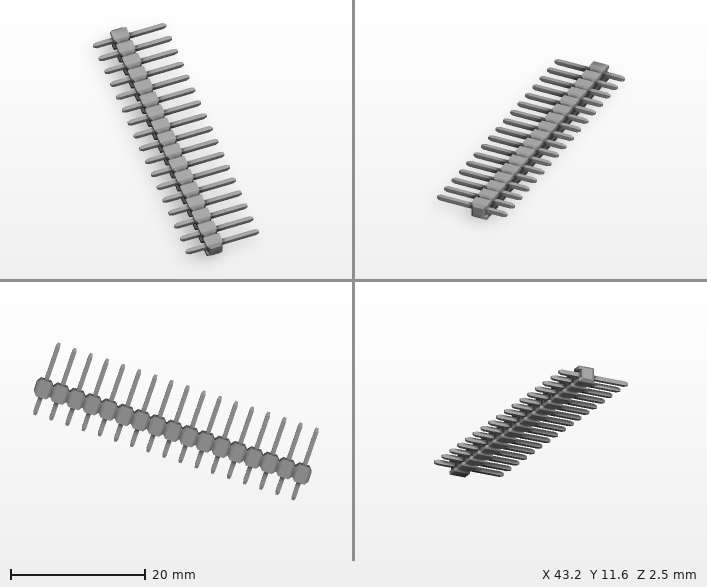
import cadquery as cq

row_length = 43.2
pin_count = 17
pitch = row_length / pin_count

body_depth = 2.55
body_height = 2.5
bevel_x = 0.47
bevel_y = 0.5
bevel_z = 0.45
channel_height = 1.4
channel_depth = 0.35

pin_width = 0.65
tip_width = 0.4
tip_length = 0.5
front_reach = 3.0
rear_reach = 6.0


def bevelled_rectangle(plane, width, height, setback):
    """Closed octagon, wide along X, whose corners are cut by bevel_x and setback."""
    x, v = width / 2, height / 2
    return (
        cq.Workplane(plane)
        .moveTo(x, v - setback)
        .lineTo(x - bevel_x, v)
        .lineTo(-x + bevel_x, v)
        .lineTo(-x, v - setback)
        .lineTo(-x, -v + setback)
        .lineTo(-x + bevel_x, -v)
        .lineTo(x - bevel_x, -v)
        .lineTo(x, -v + setback)
        .close()
    )


def make_block():
    """Housing block bevelled around both X ends, with a channel across its front face."""
    front_outline = bevelled_rectangle("XZ", pitch, body_height, bevel_z).extrude(body_depth / 2, both=True)
    top_outline = bevelled_rectangle("XY", pitch, body_depth, bevel_y).extrude(body_height / 2, both=True)
    channel = cq.Workplane("XY").box(pitch, 2 * channel_depth, channel_height)
    return front_outline.intersect(top_outline).cut(channel.translate((0, -body_depth / 2, 0)))


def make_pin():
    """Square pin running through the block, tapered at both ends."""
    shaft_front = -body_depth / 2 - front_reach + tip_length
    shaft_rear = body_depth / 2 + rear_reach - tip_length
    shaft_length = shaft_rear - shaft_front
    shaft = cq.Workplane("XY").box(pin_width, shaft_length, pin_width)
    pin = shaft.translate((0, (shaft_front + shaft_rear) / 2, 0))
    for end, direction in ((shaft_front, -1), (shaft_rear, 1)):
        end_plane = cq.Plane(origin=(0, end, 0), xDir=(1, 0, 0), normal=(0, direction, 0))
        tip = (
            cq.Workplane(end_plane)
            .rect(pin_width, pin_width)
            .workplane(offset=tip_length)
            .rect(tip_width, tip_width)
            .loft(ruled=True)
        )
        pin = pin.union(tip)
    return pin


unit = make_block().union(make_pin())

result = unit
for index in range(1, pin_count):
    result = result.union(unit.translate((index * pitch, 0, 0)))
result = result.translate(((pitch - row_length) / 2, 0, 0))